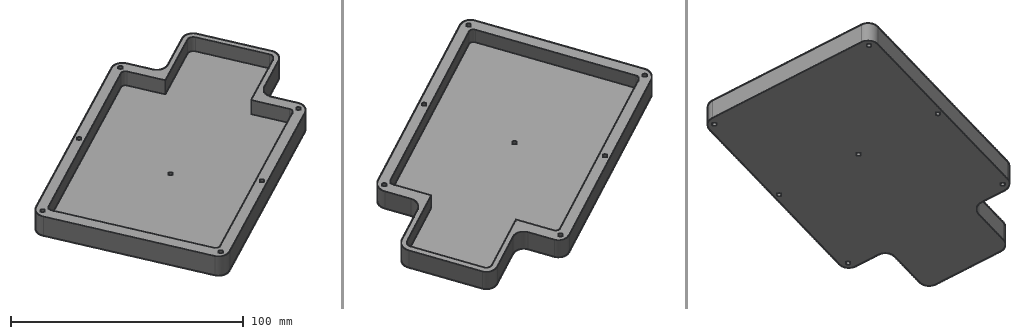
import cadquery as cq

body_width = 88.2
total_length = 135.8
height = 11.0

tab_width = 44.0
tab_length = 28.5
body_length = total_length - tab_length

body_wall = 5.0
tab_wall = 2.5
floor_thickness = 3.0
outer_radius = 5.0
pocket_radius = 2.0
pocket_tab_radius = 2.7

hole_diameter = 2.0
corner_hole_inset = 3.5
side_hole_inset = 2.5


def stepped_block(wide, narrow, front, step, back, depth):
    """Block with a wide part from front to step and a narrow part from step to back."""
    outline = [
        (-wide / 2, front),
        (wide / 2, front),
        (wide / 2, step),
        (narrow / 2, step),
        (narrow / 2, back),
        (-narrow / 2, back),
        (-narrow / 2, step),
        (-wide / 2, step),
    ]
    return cq.Workplane("XY").polyline(outline).close().extrude(depth)


body_front = -body_length / 2
body_back = body_length / 2
tab_back = body_back + tab_length

tray = stepped_block(
    body_width, tab_width, body_front, body_back, tab_back, height
).edges("|Z").fillet(outer_radius)

pocket_width = body_width - 2 * body_wall
pocket_tab_width = tab_width - 2 * tab_wall
pocket_front = body_front + body_wall
pocket_step = body_back - body_wall
pocket_back = tab_back - tab_wall
pocket = stepped_block(
    pocket_width, pocket_tab_width, pocket_front, pocket_step, pocket_back, height
)
pocket = pocket.edges("|Z and (<X or >X)").fillet(pocket_radius)
pocket = pocket.edges("|Z and >Y").fillet(pocket_tab_radius)
tray = tray.cut(pocket.translate((0, 0, floor_thickness)))

corner_x = body_width / 2 - corner_hole_inset
corner_y = body_length / 2 - corner_hole_inset
side_x = body_width / 2 - side_hole_inset
hole_centres = [(x, y) for x in (-corner_x, corner_x) for y in (-corner_y, corner_y)]
hole_centres += [(x, 0) for x in (-side_x, 0, side_x)]
holes = cq.Workplane("XY").pushPoints(hole_centres).circle(hole_diameter / 2).extrude(height)

result = tray.cut(holes)